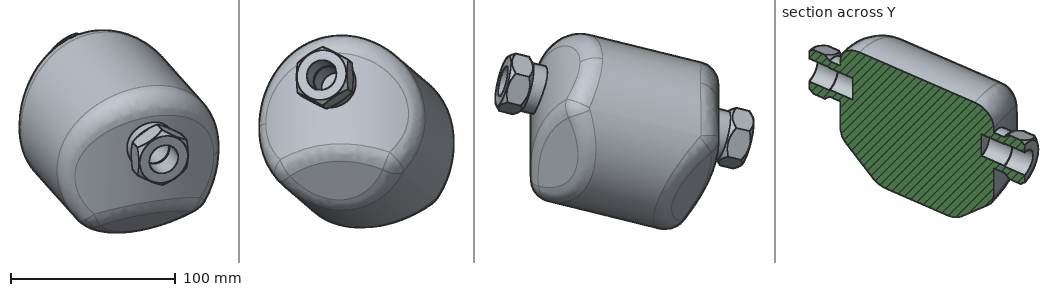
import cadquery as cq
import math

overall_length = 155.0
body_diameter = 104.0
body_length = 110.7
end_curve_radius = 90.7
edge_radius = 14.0
slope_start_z = -24.5

connection_z = 18.9
pipe_diameter = 30.0
bore_diameter = 17.5
bore_depth = 31.0
nut_bore_diameter = 18.6
nut_length = 14.7
nut_across_flats = 32.0
nut_face_diameter = 31.0

body_radius = body_diameter / 2
half_body = body_length / 2
half_length = overall_length / 2


def make_body():
    """Horizontal drum with bulged ends and sloped lower corners, all edges rounded."""
    drum = cq.Workplane("YZ").circle(body_radius).extrude(half_body, both=True)
    end_center_x = half_body - end_curve_radius
    for side in (-1, 1):
        bulge = (
            cq.Workplane("XY")
            .center(side * end_center_x, 0)
            .circle(end_curve_radius)
            .extrude(body_radius, both=True)
        )
        drum = drum.intersect(bulge)
    slope_reach = body_diameter
    for side in (-1, 1):
        corner = (
            cq.Workplane("XZ")
            .moveTo(side * (half_body + slope_reach), slope_start_z + slope_reach)
            .lineTo(side * (half_body - slope_reach), slope_start_z - slope_reach)
            .lineTo(side * (half_body + slope_reach), slope_start_z - slope_reach)
            .close()
            .extrude(body_radius, both=True)
        )
        drum = drum.cut(corner)
    return drum.edges("not |X").fillet(edge_radius)


def make_nut():
    """Hexagon nut from its outer face at x = 0 towards +X, corners up and down, 45 degree bevels."""
    corner_radius = nut_across_flats / math.sqrt(3)
    face_radius = nut_face_diameter / 2
    pipe_radius = pipe_diameter / 2
    outer_bevel = corner_radius - face_radius
    inner_bevel = corner_radius - pipe_radius
    hexagon = (
        cq.Workplane("YZ")
        .transformed(rotate=(0, 0, 90))
        .polygon(6, 2 * corner_radius)
        .extrude(nut_length)
    )
    envelope = (
        cq.Workplane("XY")
        .moveTo(0, 0)
        .lineTo(0, face_radius)
        .lineTo(outer_bevel, corner_radius)
        .lineTo(nut_length - inner_bevel, corner_radius)
        .lineTo(nut_length, pipe_radius)
        .lineTo(nut_length, 0)
        .close()
        .revolve(360, (0, 0, 0), (1, 0, 0))
    )
    return hexagon.intersect(envelope)


def make_connection():
    """Pipe stub and nut on the -X end."""
    pipe_length = half_length - half_body / 2
    pipe = cq.Workplane("YZ").circle(pipe_diameter / 2).extrude(pipe_length)
    return pipe.union(make_nut()).translate((-half_length, 0, connection_z))


def make_bore():
    """Blind connection bore, slightly wider through the nut, on the -X end."""
    bore = cq.Workplane("YZ").circle(bore_diameter / 2).extrude(bore_depth)
    nut_bore = cq.Workplane("YZ").circle(nut_bore_diameter / 2).extrude(nut_length)
    bore = bore.union(nut_bore)
    return bore.translate((-half_length, 0, connection_z))


connection = make_connection()
bore = make_bore()
result = make_body().union(connection).union(connection.mirror("YZ"))
result = result.cut(bore).cut(bore.mirror("YZ"))